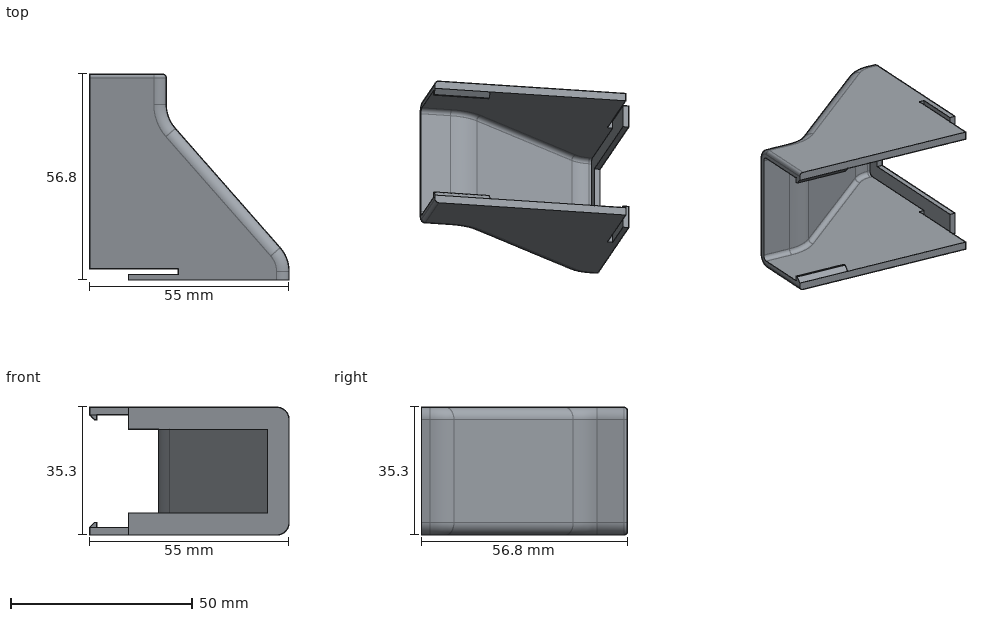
import cadquery as cq
import math

WIDTH = 55.0
DEPTH = 56.8
HEIGHT = 35.3

WALL = 2.15
INNER_EDGE_RADIUS = 1.3
OUTER_EDGE_RADIUS = WALL + INNER_EDGE_RADIUS
BACK_WIDTH = 21.15
BEND_RADIUS = 10.0
FRONT_STRAIGHT = 2.4
BACK_STRAIGHT = 8.35
BACK_RIM_RADIUS = 1.0

FLANGE_THICKNESS = 1.65
FLANGE_HEIGHT = 6.15
FLANGE_LEFT = 10.7
OPENING_RIGHT = 49.0
SLOT_WIDTH = 1.5
SLOT_END = 24.35

LIP_LENGTH = 15.5
LIP_HEIGHT = 1.35
LIP_WIDTH = 2.0

OVERSHOOT = 5.7


def bend_angle():
    """Slope of the oblique wall from Y; both bends have this angle and the same radius."""
    run = WIDTH - BACK_WIDTH
    rise = DEPTH - BACK_STRAIGHT - FRONT_STRAIGHT
    a = 4 * BEND_RADIUS - run
    half_tan = (rise - math.sqrt(rise**2 - a * run)) / a
    return 2 * math.atan(half_tan)


def wall_body(inset, front, back, left, bottom, top, edge_radius):
    """Solid bounded on the right by the bent wall, moved inward by inset."""
    half_tan = math.tan(bend_angle() / 2)
    corner_shift = (BEND_RADIUS - inset) * half_tan
    front_corner_y = FRONT_STRAIGHT + corner_shift
    back_corner_y = DEPTH - BACK_STRAIGHT - (BEND_RADIUS + inset) * half_tan
    right_x = WIDTH - inset
    back_x = BACK_WIDTH - inset
    outline = [
        (left, front),
        (right_x, front),
        (right_x, front_corner_y),
        (back_x, back_corner_y),
        (back_x, back),
        (left, back),
    ]
    body = cq.Workplane("XY", origin=(0, 0, bottom)).polyline(outline).close().extrude(top - bottom)
    middle = (bottom + top) / 2
    front_corner = cq.NearestToPointSelector((right_x, front_corner_y, middle))
    back_corner = cq.NearestToPointSelector((back_x, back_corner_y, middle))
    body = body.edges("|Z").edges(front_corner).fillet(BEND_RADIUS - inset)
    body = body.edges("|Z").edges(back_corner).fillet(BEND_RADIUS + inset)
    return body.faces(">X").edges("|Y").fillet(edge_radius)


def box(x_range, y_range, z_range):
    size = [high - low for low, high in (x_range, y_range, z_range)]
    corner = (x_range[0], y_range[0], z_range[0])
    return cq.Workplane("XY").box(*size, centered=False).translate(corner)


def lip():
    """Snap lip on the lower plate: sloped on its free side, with a narrow flat top."""
    section = [
        (0, WALL),
        (LIP_HEIGHT, WALL + LIP_HEIGHT),
        (LIP_WIDTH, WALL + LIP_HEIGHT),
        (LIP_WIDTH, WALL),
    ]
    return cq.Workplane("XZ", origin=(0, DEPTH, 0)).polyline(section).close().extrude(LIP_LENGTH)


outer = wall_body(0, 0, DEPTH, 0, 0, HEIGHT, OUTER_EDGE_RADIUS)
outer = outer.faces(">Y").edges("not <X").fillet(BACK_RIM_RADIUS)

hollow = wall_body(
    WALL, FLANGE_THICKNESS, DEPTH + OVERSHOOT, -OVERSHOOT, WALL, HEIGHT - WALL, INNER_EDGE_RADIUS
)

opening = box(
    (-OVERSHOOT, OPENING_RIGHT),
    (-OVERSHOOT, FLANGE_THICKNESS),
    (FLANGE_HEIGHT, HEIGHT - FLANGE_HEIGHT),
)

full_height = (-OVERSHOOT, HEIGHT + OVERSHOOT)
slot_back = FLANGE_THICKNESS + SLOT_WIDTH
slot = box((-OVERSHOOT, SLOT_END), (FLANGE_THICKNESS, slot_back), full_height)
flange_gap = box((-OVERSHOOT, FLANGE_LEFT), (-OVERSHOOT, slot_back), full_height)

result = outer.cut(hollow).cut(opening).cut(slot).cut(flange_gap)

lower_lip = lip()
upper_lip = lower_lip.mirror("XY", (0, 0, HEIGHT / 2))
result = result.union(lower_lip).union(upper_lip)